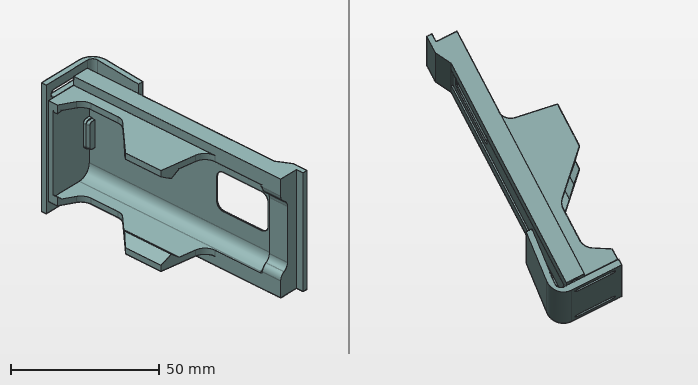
import cadquery as cq
import math


BRACKET_WIDTH = 52.0
BRACKET_THICKNESS = 2.2
BRACKET_TOP_Y = 5.8
BRACKET_DEPTH = 25.1
BRACKET_LEG_LENGTH = 24.9
BRACKET_LEG_SLOPE = math.radians(5)
BRACKET_OUTER_RADIUS = 6.1
BRACKET_INNER_RADIUS = 2.2

SCREW_Y = -3.1
SCREW_Z = 20.9
SLOT_DIAMETER = 3.1
SLOT_TRAVEL = 12.1
PILOT_DIAMETER = 2.5
PILOT_DEPTH = 10.0
PILOT_TIP_ANGLE = math.radians(118)

HOLDER_START_X = 3.4
HOLDER_END_X = 97.3
HOLDER_WIDTH = 48.0
HOLDER_FRONT_Y = -6.8
END_WALL_THICKNESS = 1.9

RAMP_START_X = 88.3
RAMP_END_X = 94.0
RAISED_BACK_Y = 3.1
LIP_THICKNESS = 2.0
LIP_END_X = 100.3

ARM_OUTER_Z = 20.4
ARM_INNER_Z = 17.9
ARM_TIP_Y = -25.9
ARM_WAIST_Y = -11.1
ARM_TIP_START_X = 44.1
ARM_TIP_END_X = 60.2
ARM_RISE_ANGLE = math.radians(45)
ARM_BACK_ANGLE = math.radians(9)
ARM_FILLET = 5.0
FOOT_Y = -19.5
FOOT_END_X = 7.4
FOOT_ANGLE = math.radians(30)

RIDGE_START_Y = -18.1
RIDGE_PEAK_Y = -21.5
RIDGE_PEAK_Z = 15.3

FLOOR_Y = -1.1
CHANNEL_FILLET = 5.0
CHANNEL_END_X = 88.5

BACK_RECESS_DEPTH = 0.6

END_FLOOR_Y = -3.4
END_FLOOR_HALF_WIDTH = 11.3
END_CHANNEL_HALF_WIDTH = 17.1
STEP_FOOT_HEIGHT = 0.8
STEP_RUN = 0.6

WINDOW_LENGTH = 23.3
WINDOW_WIDTH = 15.8
WINDOW_CENTER_X = 74.7
WINDOW_CENTER_Z = 2.2
WINDOW_RADIUS = 3.0

CATCH_FRONT_Y = -4.0
CATCH_FLAT_LENGTH = 1.2
CATCH_NOSE_LENGTH = 1.3
CATCH_NOSE_DROP = 0.5
CATCH_HALF_WIDTH = 5.9
CATCH_NOSE_HALF_WIDTH = 5.6
CATCH_EDGE_RADIUS = 1.4

WALL_INNER_X = HOLDER_START_X + END_WALL_THICKNESS


def prism_along_z(points, z_min, z_max):
    """Extrude an outline of (x, y) points from z_min to z_max."""
    return cq.Workplane("XY").workplane(offset=z_min).polyline(points).close().extrude(z_max - z_min)


def box_between(x_range, y_range, z_range):
    """Box spanning the given (low, high) ranges."""
    (x0, x1), (y0, y1), (z0, z1) = x_range, y_range, z_range
    return cq.Workplane("XY").box(x1 - x0, y1 - y0, z1 - z0, centered=False).translate((x0, y0, z0))


def make_bracket():
    half_width = BRACKET_WIDTH / 2
    bottom_y = BRACKET_TOP_Y - BRACKET_DEPTH
    slope = math.tan(BRACKET_LEG_SLOPE)
    bend_center_y = BRACKET_TOP_Y - BRACKET_OUTER_RADIUS

    outer_y_at_bend = bend_center_y + BRACKET_OUTER_RADIUS / math.cos(BRACKET_LEG_SLOPE)

    def outer_y(x):
        return outer_y_at_bend - (x - BRACKET_OUTER_RADIUS) * slope

    def inner_y(x):
        return outer_y(x) - BRACKET_THICKNESS / math.cos(BRACKET_LEG_SLOPE)

    outer_corner = (0, outer_y(0))
    inner_corner = (BRACKET_THICKNESS, inner_y(BRACKET_THICKNESS))
    outline = [
        (0, bottom_y),
        outer_corner,
        (BRACKET_LEG_LENGTH, outer_y(BRACKET_LEG_LENGTH)),
        (BRACKET_LEG_LENGTH, inner_y(BRACKET_LEG_LENGTH)),
        inner_corner,
        (BRACKET_THICKNESS, bottom_y),
    ]
    bracket = prism_along_z(outline, -half_width, half_width)
    bends = [(outer_corner, BRACKET_OUTER_RADIUS), (inner_corner, BRACKET_INNER_RADIUS)]
    for (x, y), radius in bends:
        bracket = bracket.edges(cq.NearestToPointSelector((x, y, 0))).fillet(radius)

    slot_center_y = SCREW_Y - SLOT_TRAVEL / 2
    slots = (
        cq.Workplane("YZ")
        .pushPoints([(slot_center_y, -SCREW_Z), (slot_center_y, SCREW_Z)])
        .slot2D(SLOT_TRAVEL + SLOT_DIAMETER, SLOT_DIAMETER)
        .extrude(BRACKET_THICKNESS)
    )
    return bracket.cut(slots)


def make_body():
    """Solid bar of the holder with the ramped, raised lip at its far end."""
    lip_front_y = RAISED_BACK_Y - LIP_THICKNESS
    outline = [
        (HOLDER_START_X, HOLDER_FRONT_Y),
        (HOLDER_START_X, 0),
        (RAMP_START_X, 0),
        (RAMP_END_X, RAISED_BACK_Y),
        (LIP_END_X, RAISED_BACK_Y),
        (LIP_END_X, lip_front_y),
        (HOLDER_END_X, lip_front_y),
        (HOLDER_END_X, HOLDER_FRONT_Y),
    ]
    return prism_along_z(outline, -HOLDER_WIDTH / 2, HOLDER_WIDTH / 2)


def make_arm_outline():
    """Side shape of both arms as a block across the full arm spacing."""
    foot_top = (FOOT_END_X + (ARM_WAIST_Y - FOOT_Y) * math.tan(FOOT_ANGLE), ARM_WAIST_Y)
    rise_top = (ARM_TIP_START_X - (ARM_WAIST_Y - ARM_TIP_Y) * math.tan(ARM_RISE_ANGLE), ARM_WAIST_Y)
    back_top = (ARM_TIP_END_X + (HOLDER_FRONT_Y - ARM_TIP_Y) * math.tan(ARM_BACK_ANGLE), HOLDER_FRONT_Y)
    outline = [
        (HOLDER_START_X, 0),
        (HOLDER_START_X, FOOT_Y),
        (FOOT_END_X, FOOT_Y),
        foot_top,
        rise_top,
        (ARM_TIP_START_X, ARM_TIP_Y),
        (ARM_TIP_END_X, ARM_TIP_Y),
        back_top,
        (HOLDER_END_X, HOLDER_FRONT_Y),
        (HOLDER_END_X, 0),
    ]
    arms = prism_along_z(outline, -ARM_OUTER_Z, ARM_OUTER_Z)
    for x, y in (foot_top, rise_top, back_top):
        arms = arms.edges(cq.NearestToPointSelector((x, y, 0))).fillet(ARM_FILLET)
    return arms


def make_main_channel():
    """Void between the arms: filleted floor and a snap ridge near the front of each side."""
    floor_half_width = ARM_INNER_Z - CHANNEL_FILLET
    arc_offset = CHANNEL_FILLET * math.sin(math.radians(45))
    arc_y = FLOOR_Y - CHANNEL_FILLET + arc_offset
    arc_z = floor_half_width + arc_offset
    wall_start_y = FLOOR_Y - CHANNEL_FILLET
    return (
        cq.Workplane("YZ", origin=(WALL_INNER_X, 0, 0))
        .moveTo(FLOOR_Y, -floor_half_width)
        .lineTo(FLOOR_Y, floor_half_width)
        .threePointArc((arc_y, arc_z), (wall_start_y, ARM_INNER_Z))
        .lineTo(RIDGE_START_Y, ARM_INNER_Z)
        .lineTo(RIDGE_PEAK_Y, RIDGE_PEAK_Z)
        .lineTo(ARM_TIP_Y, ARM_INNER_Z)
        .lineTo(ARM_TIP_Y, -ARM_INNER_Z)
        .lineTo(RIDGE_PEAK_Y, -RIDGE_PEAK_Z)
        .lineTo(RIDGE_START_Y, -ARM_INNER_Z)
        .lineTo(wall_start_y, -ARM_INNER_Z)
        .threePointArc((arc_y, -arc_z), (FLOOR_Y, -floor_half_width))
        .close()
        .extrude(CHANNEL_END_X - WALL_INNER_X)
    )


def s_profile(workplane):
    """Closed outline of the end channel: flat floor and two tangent arcs on each side."""
    width = END_CHANNEL_HALF_WIDTH - END_FLOOR_HALF_WIDTH
    depth = END_FLOOR_Y - HOLDER_FRONT_Y
    mid_y = END_FLOOR_Y - depth / 2
    mid_z = END_FLOOR_HALF_WIDTH + width / 2
    turn = 2 * math.atan(depth / width)
    radius = width / 2 / math.sin(turn)
    arc_z = radius * math.sin(turn / 2)
    arc_y = radius * (1 - math.cos(turn / 2))
    concave = (END_FLOOR_Y - arc_y, END_FLOOR_HALF_WIDTH + arc_z)
    convex = (HOLDER_FRONT_Y + arc_y, END_CHANNEL_HALF_WIDTH - arc_z)
    return (
        workplane.moveTo(END_FLOOR_Y, -END_FLOOR_HALF_WIDTH)
        .lineTo(END_FLOOR_Y, END_FLOOR_HALF_WIDTH)
        .threePointArc(concave, (mid_y, mid_z))
        .threePointArc(convex, (HOLDER_FRONT_Y, END_CHANNEL_HALF_WIDTH))
        .lineTo(HOLDER_FRONT_Y, -END_CHANNEL_HALF_WIDTH)
        .threePointArc((convex[0], -convex[1]), (mid_y, -mid_z))
        .threePointArc((concave[0], -concave[1]), (END_FLOOR_Y, -END_FLOOR_HALF_WIDTH))
        .close()
    )


def step_profile(workplane):
    """Closed outline at the foot of the sloping step, set in from the main channel."""
    radius = CHANNEL_FILLET - STEP_FOOT_HEIGHT
    floor_y = FLOOR_Y - STEP_FOOT_HEIGHT
    floor_z = END_CHANNEL_HALF_WIDTH - radius
    wall_y = floor_y - radius
    arc_offset = radius * math.sin(math.radians(45))
    arc_y = wall_y + arc_offset
    arc_z = floor_z + arc_offset
    return (
        workplane.moveTo(floor_y, -floor_z)
        .lineTo(floor_y, floor_z)
        .threePointArc((arc_y, arc_z), (wall_y, END_CHANNEL_HALF_WIDTH))
        .lineTo(HOLDER_FRONT_Y, END_CHANNEL_HALF_WIDTH)
        .lineTo(HOLDER_FRONT_Y, -END_CHANNEL_HALF_WIDTH)
        .lineTo(wall_y, -END_CHANNEL_HALF_WIDTH)
        .threePointArc((arc_y, -arc_z), (floor_y, -floor_z))
        .close()
    )


def make_end_channel():
    """Shallow S-sided channel of the end block plus the sloping step down to the main channel."""
    start = cq.Workplane("YZ", origin=(CHANNEL_END_X, 0, 0))
    channel = s_profile(start).extrude(HOLDER_END_X - CHANNEL_END_X)
    foot = step_profile(cq.Workplane("YZ", origin=(CHANNEL_END_X, 0, 0)))
    step = s_profile(foot.workplane(offset=STEP_RUN)).loft(ruled=True)
    return channel.union(step)


def make_window():
    length_range = (WINDOW_CENTER_X - WINDOW_LENGTH / 2, WINDOW_CENTER_X + WINDOW_LENGTH / 2)
    width_range = (WINDOW_CENTER_Z - WINDOW_WIDTH / 2, WINDOW_CENTER_Z + WINDOW_WIDTH / 2)
    return box_between(length_range, (FLOOR_Y, 0), width_range).edges("|Y").fillet(WINDOW_RADIUS)


def make_back_recess():
    """Recess behind the flat channel floor, leaving a thin plate."""
    half_width = ARM_INNER_Z - CHANNEL_FILLET
    return box_between((WALL_INNER_X, RAMP_START_X), (-BACK_RECESS_DEPTH, 0), (-half_width, half_width))


def make_catch():
    """Catch on the end wall: flat step with a narrower sloping nose, both rounded at the ends."""
    flat_end_x = WALL_INNER_X + CATCH_FLAT_LENGTH
    nose_end_x = flat_end_x + CATCH_NOSE_LENGTH
    flat = box_between(
        (WALL_INNER_X, flat_end_x), (CATCH_FRONT_Y, FLOOR_Y), (-CATCH_HALF_WIDTH, CATCH_HALF_WIDTH)
    )
    nose = prism_along_z(
        [
            (flat_end_x, FLOOR_Y),
            (flat_end_x, CATCH_FRONT_Y),
            (nose_end_x, CATCH_FRONT_Y + CATCH_NOSE_DROP),
            (nose_end_x, FLOOR_Y),
        ],
        -CATCH_NOSE_HALF_WIDTH,
        CATCH_NOSE_HALF_WIDTH,
    )
    rounded_flat = flat.edges("|X and <Y").fillet(CATCH_EDGE_RADIUS)
    nose_edge_radius = CATCH_EDGE_RADIUS - (CATCH_HALF_WIDTH - CATCH_NOSE_HALF_WIDTH)
    rounded_nose = nose.faces("<Y").edges("<Z or >Z").fillet(nose_edge_radius)
    return rounded_flat.union(rounded_nose)


def make_pilot_hole(z):
    """Blind drilled hole with a conical tip, entering from the end face."""
    radius = PILOT_DIAMETER / 2
    tip_length = radius / math.tan(PILOT_TIP_ANGLE / 2)
    section = [(0, 0), (0, radius), (PILOT_DEPTH, radius), (PILOT_DEPTH + tip_length, 0)]
    hole = cq.Workplane("XY").polyline(section).close().revolve(360, (0, 0, 0), (1, 0, 0))
    return hole.translate((HOLDER_START_X, SCREW_Y, z))


def make_holder():
    holder = make_body().union(make_arm_outline())
    holder = holder.cut(make_main_channel()).cut(make_end_channel()).cut(make_window())
    holder = holder.cut(make_back_recess()).union(make_catch())
    for z in (-SCREW_Z, SCREW_Z):
        holder = holder.cut(make_pilot_hole(z))
    return holder


bracket = make_bracket()
holder = make_holder()
result = cq.Compound.makeCompound([bracket.val(), holder.val()])